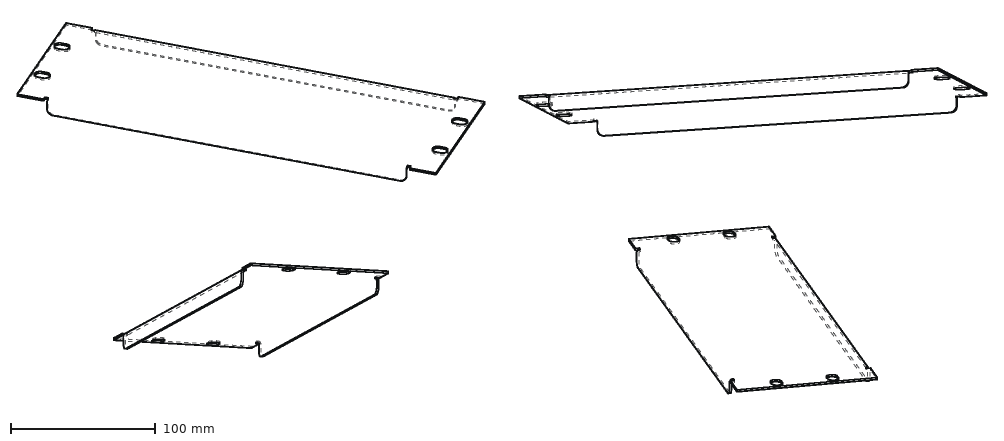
import cadquery as cq

length = 308.0
width = 100.0
height = 12.0

thickness = 1.5
inner_bend_radius = 1.2
outer_bend_radius = inner_bend_radius + thickness

flange_inset = 22.0
relief_width = 2.5
flange_corner_radius = 4.5
flange_length = length - 2 * flange_inset
relief_span = flange_length + 2 * relief_width

slot_length = 11.0
slot_width = 7.7
slot_edge_distance = 7.7
slot_spacing_y = 40.0
slot_spacing_x = length - 2 * slot_edge_distance


def make_plate():
    """Flat sheet with its top at Z = 0, cut back along both bends, with four slots."""
    plate = cq.Workplane("XY").box(length, width, thickness, centered=(True, True, False))
    plate = plate.translate((0, 0, -thickness))
    bend_strips = (
        cq.Workplane("XY")
        .rarray(3, width, 1, 2)
        .rect(relief_span, 2 * outer_bend_radius)
        .extrude(thickness, both=True)
    )
    slots = (
        cq.Workplane("XY")
        .rarray(slot_spacing_x, slot_spacing_y, 2, 2)
        .slot2D(slot_length, slot_width)
        .extrude(thickness, both=True)
    )
    return plate.cut(bend_strips).cut(slots)


def make_flange():
    """Bend and downturned flange along the -Y edge."""
    outer_y = -width / 2
    inner_y = outer_y + thickness
    bend_y = outer_y + outer_bend_radius
    flange = (
        cq.Workplane("YZ")
        .moveTo(bend_y, 0)
        .radiusArc((outer_y, -outer_bend_radius), -outer_bend_radius)
        .lineTo(outer_y, -height)
        .lineTo(inner_y, -height)
        .lineTo(inner_y, -outer_bend_radius)
        .radiusArc((bend_y, -thickness), inner_bend_radius)
        .close()
        .extrude(flange_length / 2, both=True)
    )
    lower_corners = flange.faces("<Z").edges("|Y")
    return lower_corners.fillet(flange_corner_radius)


front_flange = make_flange()
back_flange = front_flange.mirror("XZ")
result = make_plate().union(front_flange).union(back_flange)